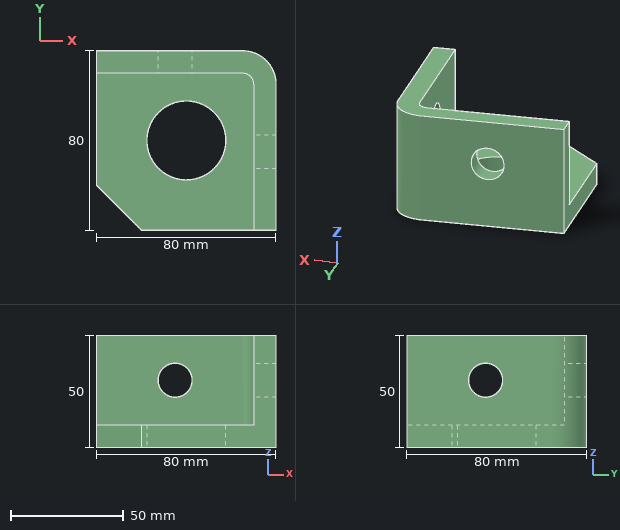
import cadquery as cq

side = 80.0
height = 50.0
wall = 10.0
corner_cut = 20.0
bore_diameter = 35.0
bolt_diameter = 15.0

inner_radius = wall / 2
outer_radius = inner_radius + wall
inner_side = side - wall
bolt_along = inner_side / 2
bolt_height = wall + (height - wall) / 2


def make_body():
    """Block with a rounded back corner and a cut front corner."""
    block = cq.Workplane("XY").box(side, side, height, centered=False)
    block = block.edges("|Z and >X and >Y").fillet(outer_radius)
    return block.edges("|Z and <X and <Y").chamfer(corner_cut)


def make_pocket():
    """Open space above the floor, rounded where the two walls meet."""
    pocket = (
        cq.Workplane("XY", origin=(0, 0, wall))
        .box(inner_side, inner_side, height - wall, centered=False)
    )
    return pocket.edges("|Z and >X and >Y").fillet(inner_radius)


def make_hole(center, direction, diameter):
    """Cylinder starting at center and long enough to leave the part."""
    return cq.Workplane(
        cq.Solid.makeCylinder(diameter / 2, side, cq.Vector(*center), cq.Vector(*direction))
    )


result = (
    make_body()
    .cut(make_pocket())
    .cut(make_hole((side / 2, side / 2, 0), (0, 0, 1), bore_diameter))
    .cut(make_hole((bolt_along, inner_side / 2, bolt_height), (0, 1, 0), bolt_diameter))
    .cut(make_hole((inner_side / 2, bolt_along, bolt_height), (1, 0, 0), bolt_diameter))
)